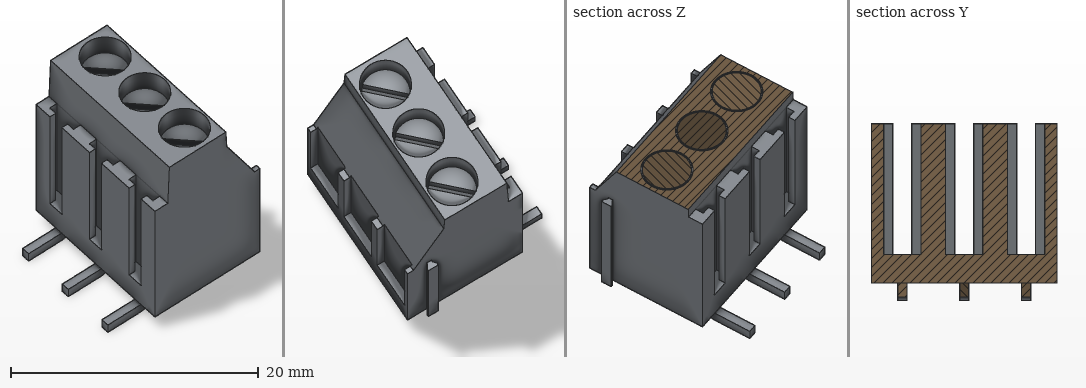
import cadquery as cq
import math


housing_length = 15.0
housing_depth = 11.03
housing_height = 17.15
front_shelf_depth = 1.35
front_shelf_height = 12.89
top_front_y = 1.52
top_back_y = 7.47
slope_top_y = 7.55
slope_top_height = 15.35
back_shelf_depth = 0.55
back_shelf_height = 10.14

pole_count = 3
pitch = housing_length / pole_count
pole_places = [(i - (pole_count - 1) / 2) * pitch for i in range(pole_count)]

slot_floor_height = 2.32
slot_mouth_width = 1.5
slot_mouth_depth = 0.61
slot_inner_width = 2.99

pocket_width = 4.12
pocket_depth = 0.69

rail_reach = 0.65
rail_lip = 0.17
rail_neck = 0.17
rail_width = 0.97
rail_neck_width = 0.46
rail_height = 10.06
rail_center_y = 8.97

screw_y = 5.18
hole_diameter = 4.2
screw_diameter = 4.0
screw_recess = 1.82
screw_slot_width = 0.58
screw_slot_depth = 0.78
screw_slot_angle = 45
screw_height = 2 * screw_slot_depth
screw_top = housing_height - screw_recess
screw_bottom = screw_top - screw_height

pin_width = 0.76
pin_thickness = 0.9
pin_inner_radius = 0.52
pin_outer_radius = pin_inner_radius + pin_thickness
pin_back_y = 1.6
pin_reach = 3.18


def block(x_center, width, y_range, z_range):
    """Upright box centred on x_center, between two Y values and two Z values."""
    y_low, y_high = y_range
    z_low, z_high = z_range
    return (
        cq.Workplane("XY")
        .box(width, y_high - y_low, z_high - z_low, centered=(True, False, False))
        .translate((x_center, y_low, z_low))
    )


def make_housing_shell():
    """Stepped and sloped side outline, extruded along the row of poles."""
    outline = [
        (0, 0),
        (0, front_shelf_height),
        (front_shelf_depth, front_shelf_height),
        (top_front_y, housing_height),
        (top_back_y, housing_height),
        (slope_top_y, slope_top_height),
        (housing_depth - back_shelf_depth, back_shelf_height),
        (housing_depth, back_shelf_height),
        (housing_depth, 0),
    ]
    return cq.Workplane("YZ").polyline(outline).close().extrude(housing_length / 2, both=True)


def make_rail():
    """Dovetail rail that widens from a narrow neck to a flat lip."""
    half_width = rail_width / 2
    half_neck = rail_neck_width / 2
    lip_x = rail_lip - rail_reach
    outline = [
        (0, -half_neck),
        (-rail_neck, -half_neck),
        (lip_x, -half_width),
        (-rail_reach, -half_width),
        (-rail_reach, half_width),
        (lip_x, half_width),
        (-rail_neck, half_neck),
        (0, half_neck),
    ]
    rail = cq.Workplane("XY").polyline(outline).close().extrude(rail_height)
    return rail.translate((-housing_length / 2, rail_center_y, 0))


def make_front_slot(x):
    """T-shaped slot, open at the front face and at the front shelf."""
    z_range = (slot_floor_height, front_shelf_height)
    mouth = block(x, slot_mouth_width, (0, slot_mouth_depth), z_range)
    inner = block(x, slot_inner_width, (slot_mouth_depth, front_shelf_depth), z_range)
    return mouth.union(inner)


def make_wire_pocket(x):
    """Shallow pocket in the back face, open through the back shelf and the foot of the slope."""
    y_range = (housing_depth - pocket_depth, housing_depth)
    return block(x, pocket_width, y_range, (slot_floor_height, slope_top_height))


def make_screw_hole(x):
    """Blind hole from the top of the housing down to the seat of the screw."""
    hole_depth = housing_height - screw_bottom
    hole = cq.Workplane("XY").circle(hole_diameter / 2).extrude(hole_depth)
    return hole.translate((x, screw_y, screw_bottom))


def make_housing():
    housing = make_housing_shell().union(make_rail())
    for x in pole_places:
        housing = housing.cut(make_front_slot(x))
        housing = housing.cut(make_wire_pocket(x))
        housing = housing.cut(make_screw_hole(x))
    return housing


def make_screw(x):
    """Flat screw head with a diagonal driver slot across its whole top."""
    screw = cq.Workplane("XY").circle(screw_diameter / 2).extrude(screw_height)
    driver_slot = (
        cq.Workplane("XY")
        .box(screw_diameter, screw_slot_width, screw_slot_depth, centered=(True, True, False))
        .rotate((0, 0, 0), (0, 0, 1), screw_slot_angle)
        .translate((0, 0, screw_height - screw_slot_depth))
    )
    return screw.cut(driver_slot).translate((x, screw_y, screw_bottom))


def make_pin(x):
    """Pin that leaves the underside of the housing, bends a quarter turn and runs forward."""
    bend_y = pin_back_y - pin_outer_radius
    diagonal = math.sqrt(0.5)
    inner_middle = (bend_y + pin_inner_radius * diagonal, -pin_inner_radius * diagonal)
    outer_middle = (bend_y + pin_outer_radius * diagonal, -pin_outer_radius * diagonal)
    pin = (
        cq.Workplane("YZ")
        .moveTo(pin_back_y, 0)
        .threePointArc(outer_middle, (bend_y, -pin_outer_radius))
        .lineTo(-pin_reach, -pin_outer_radius)
        .lineTo(-pin_reach, -pin_inner_radius)
        .lineTo(bend_y, -pin_inner_radius)
        .threePointArc(inner_middle, (bend_y + pin_inner_radius, 0))
        .close()
        .extrude(pin_width / 2, both=True)
    )
    return pin.translate((x, 0, 0))


housing = make_housing()
screws = [make_screw(x) for x in pole_places]
pins = [make_pin(x) for x in pole_places]

result = cq.Compound.makeCompound([body.val() for body in [housing, *screws, *pins]])